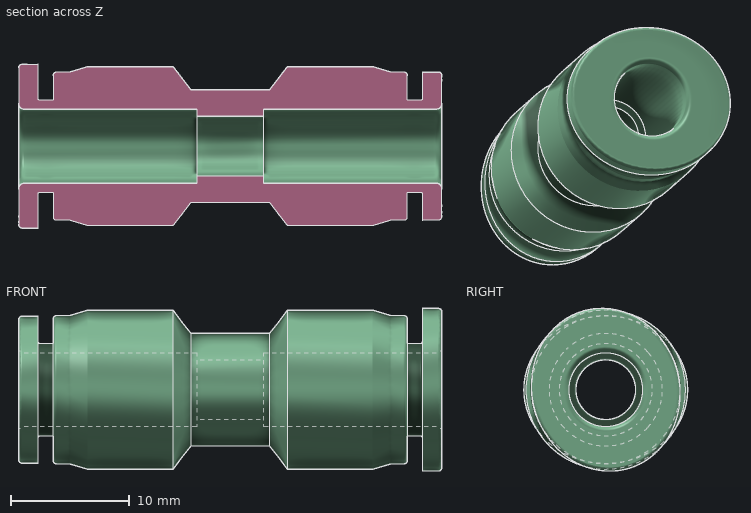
import cadquery as cq
import math

waist_half_length = 3.3
shoulder_station = 4.8
barrel_station = 12.0
rim_station = 13.5
body_half_length = 14.9
flange_inner_station = 16.15
overall_half_length = 17.8
flange_thickness = overall_half_length - flange_inner_station

waist_diameter = 9.5
barrel_diameter = 13.4
rim_diameter = 12.5
sleeve_diameter = 7.8

flange_major = 13.8
flange_minor = 12.4
right_flange_turn = 15.0
left_flange_turn = 90.0

bore_diameter = 5.0
socket_diameter = 6.2
socket_depth = 15.0

edge_round = 0.3
sleeve_root_round = 0.15
socket_mouth_round = 0.5


def x_cylinder(diameter, start, length):
    """Cylinder along +X from the given station."""
    return cq.Workplane("YZ", origin=(start, 0, 0)).circle(diameter / 2).extrude(length)


def make_body():
    """Turned body: two barrels joined by a narrower waist."""
    half_profile = [
        (body_half_length, rim_diameter / 2),
        (rim_station, rim_diameter / 2),
        (barrel_station, barrel_diameter / 2),
        (shoulder_station, barrel_diameter / 2),
        (waist_half_length, waist_diameter / 2),
    ]
    mirrored_profile = [(-x, radius) for x, radius in reversed(half_profile)]
    outline = [(body_half_length, 0)] + half_profile + mirrored_profile + [(-body_half_length, 0)]
    body = cq.Workplane("XY").polyline(outline).close().revolve(360, (0, 0, 0), (1, 0, 0))
    return body.faces("<X or >X").edges().fillet(edge_round)


def make_release_sleeve():
    """Sleeve, rooted in the body, and oval flange for the +X end; long axis along Z."""
    flange = (
        cq.Workplane("YZ", origin=(flange_inner_station, 0, 0))
        .ellipse(flange_minor / 2, flange_major / 2)
        .extrude(flange_thickness)
        .faces(">X")
        .edges()
        .fillet(edge_round)
    )
    sleeve = x_cylinder(sleeve_diameter, rim_station, flange_inner_station - rim_station)
    return flange.union(sleeve).edges("%CIRCLE").edges(">X").fillet(sleeve_root_round)


def make_socket():
    """Tube socket cutter for the +X end, flared by a round at the mouth."""
    radius = socket_diameter / 2
    floor_station = overall_half_length - socket_depth
    round_start = (overall_half_length - socket_mouth_round, radius)
    round_end = (overall_half_length, radius + socket_mouth_round)
    diagonal = socket_mouth_round * math.sin(math.radians(45))
    round_middle = (round_start[0] + diagonal, round_end[1] - diagonal)
    return (
        cq.Workplane("XY")
        .moveTo(floor_station, 0)
        .lineTo(floor_station, radius)
        .lineTo(*round_start)
        .threePointArc(round_middle, round_end)
        .lineTo(overall_half_length, 0)
        .close()
        .revolve(360, (0, 0, 0), (1, 0, 0))
    )


def turn_about_x(part, angle):
    """Turn a part about the tube axis."""
    return part.rotate((0, 0, 0), (1, 0, 0), angle)


def to_left_end(right_end):
    """Swing a +X end feature round to the -X end."""
    return right_end.rotate((0, 0, 0), (0, 0, 1), 180)


sleeve = make_release_sleeve()
right_sleeve = turn_about_x(sleeve, right_flange_turn)
left_sleeve = turn_about_x(to_left_end(sleeve), left_flange_turn)
socket = make_socket()

result = make_body().union(right_sleeve).union(left_sleeve)
result = result.cut(socket).cut(to_left_end(socket))
result = result.cut(x_cylinder(bore_diameter, -overall_half_length, 2 * overall_half_length))